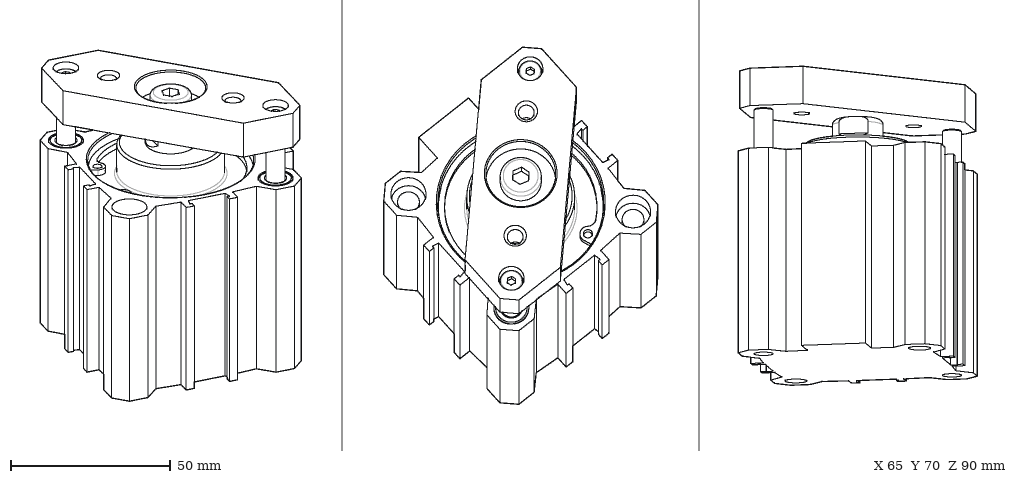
import cadquery as cq
import math

TOTAL_HEIGHT = 90
PLATE_THICKNESS = 12.0
HOUSING_HEIGHT = 64.4
PLATE_BOTTOM = TOTAL_HEIGHT - PLATE_THICKNESS
CORNER_OFFSET = 25.0
PIN_PLACES = [(CORNER_OFFSET, CORNER_OFFSET), (-CORNER_OFFSET, -CORNER_OFFSET)]
MOUNTING_PLACES = [(-CORNER_OFFSET, CORNER_OFFSET), (CORNER_OFFSET, -CORNER_OFFSET)]

HOUSING_HALF = 32.5
LUG_OUTER = 28.3
LUG_INNER = 22.0
LUG_ROOT = 17.2
WALL_AT_LUG = 27.9
WALL_AT_RAIL = 28.4
RAIL_OUTER = 8.8
RAIL_ROOT = 6.3
RAIL_UNDERCUT = 6.75
RAIL_LIP = 6.0
LIP_START = 30.6
PORT_HALF_WIDTH = 10.3
PORT_FACE = 37.5

MOUNTING_HOLE_DIAMETER = 6.8
COUNTERBORE_DIAMETER = 11.0
COUNTERBORE_DEPTH = 7.0
RECESS_DIAMETER = 52.2
RECESS_DEPTH = 5.0
RECESS_CHAMFER = 0.45
COLLAR_DIAMETER = 33.9
COLLAR_RISE = 5.9
COLLAR_CHAMFER = 0.8
COLLAR_FILLET = 0.7
GUIDE_GROOVE_SIZE = 0.5
PIN_BORE_MOUTH = 7.0

RING_OUTER_DIAMETER = 51.8
RING_INNER_DIAMETER = 47.9
RING_THICKNESS = 2.0
RING_HALF_GAP = 19.8
EAR_DISTANCE = 23.0
EAR_RADIUS = 2.5
EAR_HOLE_DIAMETER = 2.8
EAR_BLEND = 2.7

ROD_DIAMETER = 16.0
ROD_BOTTOM = 9
ROD_TIP_FILLET = 1.8
FLAT_DISTANCE = 6.5
FLAT_BOTTOM = 72.6

PIN_DIAMETER = 6.0
PIN_CHAMFER = 0.4

PLATE_HALF = 32.1
PLATE_SHOULDER = 10.9
PLATE_CORNER = 27.9
TAPPED_HOLE_OFFSET = 14.85
TAPPED_HOLE_DIAMETER = 4.95
TAPPED_HOLE_MOUTH = 7.0

ROD_BOLT = dict(head=13.0, height=5.0, shank=8.0, length=10.8, fillet=1.0, socket=5.0, depth=3.4, drop=2.0)
PIN_BOLT = dict(head=7.0, height=2.8, shank=4.0, length=7.2, fillet=0.3, socket=2.5, depth=2.0, drop=2.1)

SOCKET_CONE_RATIO = 0.25

ROD_BOLT_SEAT = dict(bore=22.0, hole=9)
ROD_SEAT_CHAMFER = 0.45
PIN_BOLT_SEAT = dict(bore=8.0, hole=4.5)


def cylinder(diameter, bottom, top, place=(0, 0)):
    return cq.Workplane(origin=(*place, bottom)).circle(diameter / 2).extrude(top - bottom)


def cone(bottom_diameter, top_diameter, bottom, top, place=(0, 0)):
    start = cq.Vector(*place, bottom)
    return cq.Workplane(cq.Solid.makeCone(bottom_diameter / 2, top_diameter / 2, top - bottom, start))


def bolt_head_bottom(bolt):
    return TOTAL_HEIGHT - bolt["drop"] - bolt["height"]


def bolt_tip(bolt):
    return bolt_head_bottom(bolt) - bolt["length"]



def whole_side(half_side):
    return [(-x, y) for x, y in reversed(half_side)] + half_side


def housing_block():
    corner = (LUG_OUTER + HOUSING_HALF) / 2
    half_lug = [
        (LUG_ROOT, -WALL_AT_LUG),
        (LUG_INNER, -HOUSING_HALF),
        (LUG_OUTER, -HOUSING_HALF),
        (corner, -corner),
    ]
    half_rail = [
        (RAIL_ROOT, -WALL_AT_RAIL),
        (RAIL_UNDERCUT, -LIP_START),
        (RAIL_LIP, -LIP_START),
        (RAIL_LIP, -HOUSING_HALF),
        (RAIL_OUTER, -HOUSING_HALF),
        (RAIL_OUTER, -WALL_AT_RAIL),
    ]
    half_port = [(PORT_HALF_WIDTH, -PORT_FACE), (PORT_HALF_WIDTH, -WALL_AT_RAIL)]
    railed_side = whole_side(half_rail + half_lug)
    port_side = whole_side(half_port + half_lug)

    right = [(-y, x) for x, y in railed_side]
    back = [(-x, -y) for x, y in port_side]
    left = [(y, -x) for x, y in railed_side]
    outline = railed_side[1:] + right[1:] + back[1:] + left[1:]
    return cq.Workplane().polyline(outline).close().extrude(HOUSING_HEIGHT)


def cut_mounting_holes(body):
    for place in MOUNTING_PLACES:
        body = body.cut(cylinder(MOUNTING_HOLE_DIAMETER, 0, HOUSING_HEIGHT, place))
        body = body.cut(
            cylinder(COUNTERBORE_DIAMETER, HOUSING_HEIGHT - COUNTERBORE_DEPTH, HOUSING_HEIGHT, place)
        )
    return body


def cut_guide_bores(body):
    groove_floor = HOUSING_HEIGHT - GUIDE_GROOVE_SIZE
    island_diameter = COUNTERBORE_DIAMETER - 2 * GUIDE_GROOVE_SIZE
    mouth_depth = (PIN_BORE_MOUTH - PIN_DIAMETER) / 2
    for place in PIN_PLACES:
        groove = cylinder(COUNTERBORE_DIAMETER, groove_floor, HOUSING_HEIGHT, place)
        groove = groove.cut(cone(COUNTERBORE_DIAMETER, island_diameter, groove_floor, HOUSING_HEIGHT, place))
        mouth = cone(PIN_DIAMETER, PIN_BORE_MOUTH, HOUSING_HEIGHT - mouth_depth, HOUSING_HEIGHT, place)
        body = body.cut(groove).cut(mouth).cut(cylinder(PIN_DIAMETER, 0, HOUSING_HEIGHT, place))
    return body


def collar_and_recess(body):
    floor = HOUSING_HEIGHT - RECESS_DEPTH
    collar_top = HOUSING_HEIGHT + COLLAR_RISE
    mouth_diameter = RECESS_DIAMETER + 2 * RECESS_CHAMFER
    body = body.cut(cylinder(RECESS_DIAMETER, floor, HOUSING_HEIGHT))
    body = body.cut(
        cone(RECESS_DIAMETER, mouth_diameter, HOUSING_HEIGHT - RECESS_CHAMFER, HOUSING_HEIGHT)
    )

    radius = COLLAR_DIAMETER / 2
    fillet_middle = COLLAR_FILLET * (1 - math.sqrt(0.5))
    collar = (
        cq.Workplane("XZ")
        .moveTo(0, floor)
        .lineTo(radius + COLLAR_FILLET, floor)
        .threePointArc((radius + fillet_middle, floor + fillet_middle), (radius, floor + COLLAR_FILLET))
        .lineTo(radius, collar_top - COLLAR_CHAMFER)
        .lineTo(radius - COLLAR_CHAMFER, collar_top)
        .lineTo(0, collar_top)
        .close()
        .revolve()
    )
    body = body.union(collar)
    return body.cut(cylinder(ROD_DIAMETER, ROD_BOTTOM, collar_top))


def make_housing():
    body = collar_and_recess(housing_block())
    body = cut_mounting_holes(body)
    return cut_guide_bores(body)



def polar(radius, degrees):
    angle = math.radians(degrees)
    return (radius * math.cos(angle), radius * math.sin(angle))


def make_retaining_ring():
    bottom = HOUSING_HEIGHT - RECESS_DEPTH
    top = bottom + RING_THICKNESS
    end_angle = RING_HALF_GAP - 90
    ear_angle = end_angle + math.degrees(math.asin(EAR_RADIUS / EAR_DISTANCE))
    ear_place = polar(EAR_DISTANCE, ear_angle)
    end_distance = math.sqrt(EAR_DISTANCE**2 - EAR_RADIUS**2)
    mid_distance = (RING_OUTER_DIAMETER + RING_INNER_DIAMETER) / 4

    ring = cylinder(RING_OUTER_DIAMETER, bottom, top).cut(cylinder(RING_INNER_DIAMETER, bottom, top))
    gap_reach = RING_OUTER_DIAMETER
    gap = [(0, 0), polar(gap_reach, -90 - RING_HALF_GAP), polar(gap_reach, end_angle)]
    ring = ring.cut(cq.Workplane(origin=(0, 0, bottom)).polyline(gap).close().extrude(RING_THICKNESS))

    web = [
        ear_place,
        polar(end_distance, end_angle),
        polar(mid_distance, end_angle),
        polar(mid_distance, ear_angle),
    ]
    ear = cq.Workplane(origin=(0, 0, bottom)).polyline(web).close().extrude(RING_THICKNESS)
    ear = ear.union(cylinder(2 * EAR_RADIUS, bottom, top, ear_place))
    ring = ring.union(ear).union(ear.mirror("YZ"))

    inner_radius = RING_INNER_DIAMETER / 2
    cosine = (EAR_DISTANCE**2 + inner_radius**2 - EAR_RADIUS**2) / (2 * EAR_DISTANCE * inner_radius)
    corner_x, corner_y = polar(inner_radius, ear_angle + math.degrees(math.acos(cosine)))
    for side in (-1, 1):
        corner = (side * corner_x, corner_y, bottom + RING_THICKNESS / 2)
        ring = ring.edges(cq.NearestToPointSelector(corner)).fillet(EAR_BLEND)
        ring = ring.cut(cylinder(EAR_HOLE_DIAMETER, bottom, top, (side * ear_place[0], ear_place[1])))
    return ring



def make_piston_rod():
    rod = cylinder(ROD_DIAMETER, ROD_BOTTOM, PLATE_BOTTOM).faces(">Z").edges().fillet(ROD_TIP_FILLET)

    cut_depth = ROD_DIAMETER - FLAT_DISTANCE
    flat = [
        (FLAT_DISTANCE, PLATE_BOTTOM),
        (FLAT_DISTANCE, FLAT_BOTTOM),
        (FLAT_DISTANCE + cut_depth, FLAT_BOTTOM - cut_depth),
        (FLAT_DISTANCE + cut_depth, PLATE_BOTTOM),
    ]
    cutter = cq.Workplane("YZ").polyline(flat).close().extrude(ROD_DIAMETER / 2, both=True)
    rod = rod.cut(cutter).cut(cutter.mirror("XZ"))
    return rod.cut(cylinder(ROD_BOLT["shank"], bolt_tip(ROD_BOLT), PLATE_BOTTOM))



def make_guide_pin(place):
    pin = cylinder(PIN_DIAMETER, 0, PLATE_BOTTOM, place).faces(">Z").chamfer(PIN_CHAMFER)
    return pin.cut(cylinder(PIN_BOLT["shank"], bolt_tip(PIN_BOLT), PLATE_BOTTOM, place))



def cut_bolt_seat(plate, bolt, seat, place):
    plate = plate.cut(cylinder(seat["hole"], PLATE_BOTTOM, TOTAL_HEIGHT, place))
    return plate.cut(cylinder(seat["bore"], bolt_head_bottom(bolt), TOTAL_HEIGHT, place))


def make_plate():
    half_outline = [
        (-PLATE_SHOULDER, -PLATE_HALF),
        (PLATE_HALF, PLATE_SHOULDER),
        (PLATE_HALF, PLATE_CORNER),
        (PLATE_CORNER, PLATE_HALF),
    ]
    outline = half_outline + [(-x, -y) for x, y in half_outline]
    plate = cq.Workplane(origin=(0, 0, PLATE_BOTTOM)).polyline(outline).close().extrude(PLATE_THICKNESS)

    plate = cut_bolt_seat(plate, ROD_BOLT, ROD_BOLT_SEAT, (0, 0))
    mouth = ROD_BOLT_SEAT["bore"] + 2 * ROD_SEAT_CHAMFER
    plate = plate.cut(cone(ROD_BOLT_SEAT["bore"], mouth, TOTAL_HEIGHT - ROD_SEAT_CHAMFER, TOTAL_HEIGHT))
    for place in PIN_PLACES:
        plate = cut_bolt_seat(plate, PIN_BOLT, PIN_BOLT_SEAT, place)

    mouth_depth = (TAPPED_HOLE_MOUTH - TAPPED_HOLE_DIAMETER) / 2
    for offset in (-TAPPED_HOLE_OFFSET, TAPPED_HOLE_OFFSET):
        place = (offset, offset)
        plate = plate.cut(cylinder(TAPPED_HOLE_DIAMETER, PLATE_BOTTOM, TOTAL_HEIGHT, place))
        plate = plate.cut(
            cone(TAPPED_HOLE_DIAMETER, TAPPED_HOLE_MOUTH, TOTAL_HEIGHT - mouth_depth, TOTAL_HEIGHT, place)
        )
    return plate



def make_bolt(bolt, place):
    head_bottom = bolt_head_bottom(bolt)
    head_top = head_bottom + bolt["height"]
    body = cylinder(bolt["head"], head_bottom, head_top).faces(">Z").edges().fillet(bolt["fillet"])
    body = body.union(cylinder(bolt["shank"], bolt_tip(bolt), head_bottom))

    corners = bolt["socket"] / math.cos(math.radians(30))
    cone_height = corners * SOCKET_CONE_RATIO
    wall_bottom = head_top - bolt["depth"]
    tip = wall_bottom - cone_height
    hexagon = cq.Workplane(origin=(0, 0, tip)).polygon(6, corners).extrude(head_top - tip)
    hexagon = hexagon.rotate((0, 0, 0), (0, 0, 1), 45)
    drill = cylinder(corners, wall_bottom, head_top).union(cone(0, corners, tip, wall_bottom))
    return body.cut(hexagon.intersect(drill)).translate((*place, 0))


housing = make_housing()
retaining_ring = make_retaining_ring()
piston_rod = make_piston_rod()
guide_pins = [make_guide_pin(place) for place in PIN_PLACES]
plate = make_plate()
rod_bolt = make_bolt(ROD_BOLT, (0, 0))
pin_bolts = [make_bolt(PIN_BOLT, place) for place in PIN_PLACES]

bodies = [housing, retaining_ring, piston_rod, plate, rod_bolt, *guide_pins, *pin_bolts]
result = cq.Compound.makeCompound([body.solids().val() for body in bodies])